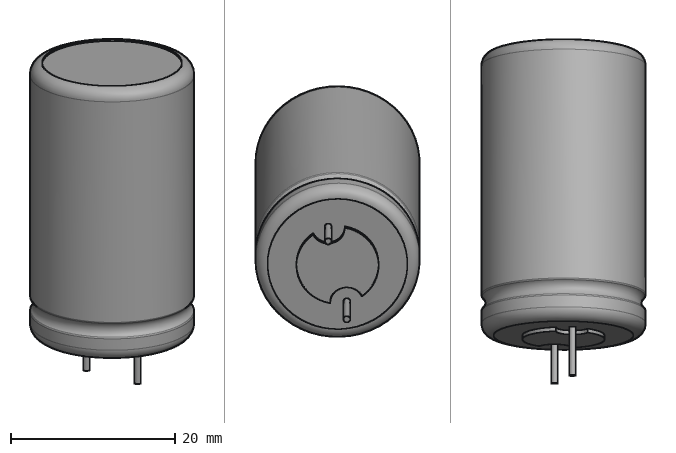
import cadquery as cq
import math

sleeve_diameter = 20.0
core_diameter = 17.0
overall_height = 41
long_lead_length = 6.0
short_lead_length = 4.9
lead_diameter = 0.8
lead_pitch = 10.0
top_recess_depth = 0.2
groove_height = 4.0
groove_mouth_width = 1.9
groove_depth = 0.5
groove_edge_radius = 0.25
foot_diameter = 10.0
foot_thickness = 0.5
foot_notch_radius = 2.0

sleeve_height = overall_height - long_lead_length
sleeve_radius = sleeve_diameter / 2
core_radius = core_diameter / 2
rim_radius = sleeve_radius - core_radius
core_height = sleeve_height - top_recess_depth
leads = [(-lead_pitch / 2, long_lead_length), (lead_pitch / 2, short_lead_length)]


def make_groove_cutter():
    """Ring with a round inner side that cuts the bead groove around the sleeve."""
    half_width = groove_mouth_width / 2
    return (
        cq.Workplane("XZ")
        .moveTo(sleeve_radius, groove_height - half_width)
        .threePointArc(
            (sleeve_radius - groove_depth, groove_height),
            (sleeve_radius, groove_height + half_width),
        )
        .lineTo(sleeve_radius + groove_depth, groove_height + half_width)
        .lineTo(sleeve_radius + groove_depth, groove_height - half_width)
        .close()
        .revolve(360, (0, 0, 0), (0, 1, 0))
    )


def make_sleeve():
    """Open tube with rounded ends and a bead groove near the bottom."""
    tube = cq.Workplane("XY").circle(sleeve_radius).extrude(sleeve_height)
    tube = tube.cut(make_groove_cutter())
    groove_zone = cq.selectors.BoxSelector(
        (-sleeve_diameter, -sleeve_diameter, groove_height - groove_mouth_width),
        (sleeve_diameter, sleeve_diameter, groove_height + groove_mouth_width),
        boundingbox=True,
    )
    tube = tube.edges(groove_zone).edges("%CIRCLE").fillet(groove_edge_radius)
    arc_midpoint_inset = rim_radius * (1 - math.cos(math.radians(45)))
    end_profile = (
        cq.Workplane("XZ")
        .lineTo(core_radius, 0)
        .threePointArc(
            (sleeve_radius - arc_midpoint_inset, arc_midpoint_inset),
            (sleeve_radius, rim_radius),
        )
        .lineTo(sleeve_radius, sleeve_height - rim_radius)
        .threePointArc(
            (sleeve_radius - arc_midpoint_inset, sleeve_height - arc_midpoint_inset),
            (core_radius, sleeve_height),
        )
        .lineTo(0, sleeve_height)
        .close()
    )
    rounded_envelope = end_profile.revolve(360, (0, 0, 0), (0, 1, 0))
    bore = cq.Workplane("XY").circle(core_radius).extrude(sleeve_height)
    return tube.intersect(rounded_envelope).cut(bore)


def make_foot():
    """Thin disc under the core, with a round notch that clears each lead."""
    foot = cq.Workplane("XY").circle(foot_diameter / 2).extrude(-foot_thickness)
    for lead_x, _ in leads:
        notch = cq.Workplane("XY").center(lead_x, 0).circle(foot_notch_radius).extrude(-foot_thickness)
        foot = foot.cut(notch)
    return foot


def make_core():
    """Cylinder that fills the sleeve, with its foot and two leads below."""
    core = cq.Workplane("XY").circle(core_radius).extrude(core_height).union(make_foot())
    for lead_x, lead_length in leads:
        lead = cq.Workplane("XY").center(lead_x, 0).circle(lead_diameter / 2).extrude(-lead_length)
        core = core.union(lead)
    return core


sleeve = make_sleeve()
core = make_core()
result = cq.Compound.makeCompound([sleeve.val(), core.val()])